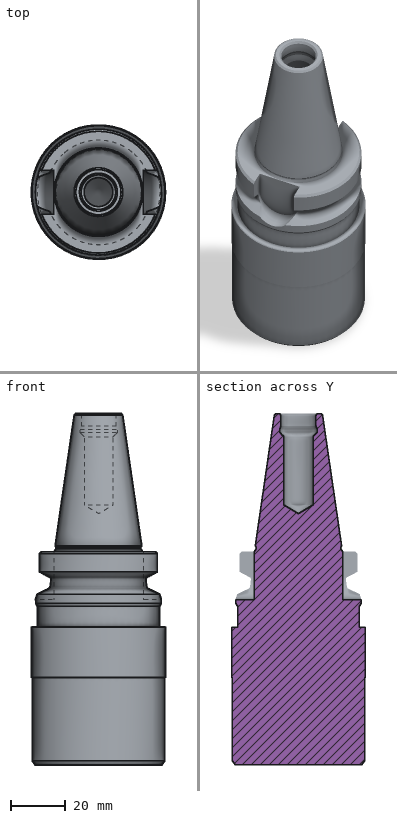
import cadquery as cq
import math

total_height = 128.4

body_radius = 24.3
body_chamfer_width = 1.2
body_chamfer_height = 1.5
nut_radius = 24.5
nut_bottom = 31.8
nut_top = 50.5
nut_edge_chamfer = 0.3
neck_radius = 22.3

flange_radius = 23.0
flange_bottom = 57.9
flange_bottom_chamfer_height = 1.2
flange_top = 78.0
flange_edge_chamfer = 0.8
groove_radius = 19.1
groove_floor_bottom = 64.6
groove_floor_top = 68.3
groove_wall_angle = 30.0
groove_corner_fillet = 0.6
groove_wall_height = (flange_radius - groove_radius) * math.tan(math.radians(groove_wall_angle))

taper_ratio = 7 / 24
gauge_height = 80.0
gauge_diameter = 31.7
gauge_radius = gauge_diameter / 2
relief_radius = 15.5
relief_top = 79.5
relief_bottom = 79.0
relief_foot_width = 0.6
tip_chamfer = 0.6
taper_top = total_height - tip_chamfer
taper_top_radius = gauge_radius - (taper_top - gauge_height) * taper_ratio / 2

slot_width = 16.0
slot_floor_offset = 16.3
slot_bottom = 60.5

bore_radius = 6.3
mouth_radius = 6.9
mouth_depth = 0.8
bore_depth = 4.6
undercut_radius = 6.8
undercut_flare_depth = 5.9
undercut_depth = 6.9
drill_radius = 5.3
drill_depth = 33.4
drill_point_angle = 118.0
drill_point_height = drill_radius / math.tan(math.radians(drill_point_angle / 2))


def revolve_profile(points):
    """Revolve a closed outline of (radius, height) points about the Z axis."""
    return cq.Workplane("XZ").polyline(points).close().revolve(360, (0, 0, 0), (0, 1, 0))


def make_holder():
    return revolve_profile([
        (0, 0),
        (body_radius - body_chamfer_width, 0),
        (body_radius, body_chamfer_height),
        (body_radius, nut_bottom),
        (nut_radius, nut_bottom + nut_edge_chamfer),
        (nut_radius, nut_top - nut_edge_chamfer),
        (nut_radius - nut_edge_chamfer, nut_top),
        (neck_radius, nut_top),
        (neck_radius, flange_bottom),
        (flange_radius, flange_bottom + flange_bottom_chamfer_height),
        (flange_radius, groove_floor_bottom - groove_wall_height),
        (groove_radius, groove_floor_bottom),
        (groove_radius, groove_floor_top),
        (flange_radius, groove_floor_top + groove_wall_height),
        (flange_radius, flange_top - flange_edge_chamfer),
        (flange_radius - flange_edge_chamfer, flange_top),
        (relief_radius + relief_foot_width, flange_top),
        (relief_radius, relief_bottom),
        (relief_radius, relief_top),
        (gauge_radius, gauge_height),
        (taper_top_radius, taper_top),
        (taper_top_radius - tip_chamfer, total_height),
        (0, total_height),
    ])


def round_groove_corners(holder):
    """Fillet the two inner corners at the floor of the gripper groove."""
    floor_corners = cq.selectors.BoxSelector(
        (-flange_radius, -flange_radius, groove_floor_bottom - groove_wall_height / 2),
        (flange_radius, flange_radius, groove_floor_top + groove_wall_height / 2),
    )
    return holder.edges("%CIRCLE").edges(floor_corners).fillet(groove_corner_fillet)


def make_hole():
    drill_start = total_height - undercut_depth - (undercut_radius - drill_radius)
    drill_end = total_height - drill_depth
    return revolve_profile([
        (0, total_height),
        (mouth_radius, total_height),
        (bore_radius, total_height - mouth_depth),
        (bore_radius, total_height - bore_depth),
        (undercut_radius, total_height - undercut_flare_depth),
        (undercut_radius, total_height - undercut_depth),
        (drill_radius, drill_start),
        (drill_radius, drill_end),
        (0, drill_end - drill_point_height),
    ])


def make_drive_slot(side):
    """Slot cutter on the +X (side = 1) or -X (side = -1) face of the flange."""
    half_width = slot_width / 2
    arc_center = slot_bottom + half_width
    return (
        cq.Workplane("YZ", origin=(side * slot_floor_offset, 0, 0))
        .moveTo(-half_width, flange_top)
        .lineTo(-half_width, arc_center)
        .threePointArc((0, slot_bottom), (half_width, arc_center))
        .lineTo(half_width, flange_top)
        .close()
        .extrude(side * (flange_radius - slot_floor_offset))
    )


result = round_groove_corners(make_holder()).cut(make_hole())
for side in (-1, 1):
    result = result.cut(make_drive_slot(side))